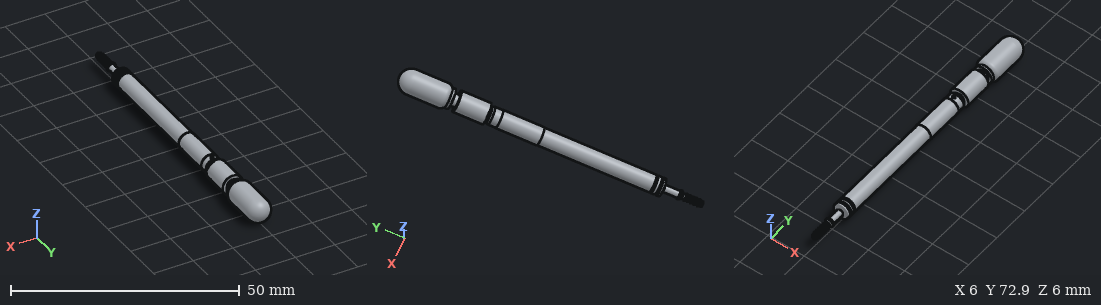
import cadquery as cq

total_length = 72.9

head_radius = 3.0
head_shoulder_at = 10.65
shoulder_inflection_at = 11.5
shoulder_inflection_radius = 2.6
collar_at = 11.8
collar_radius = 2.4
head_end_at = 12.6

front_neck_radius = 1.5
rear_neck_radius = 1.3

sleeve_radius = 2.55
sleeve_at = 13.9
sleeve_end_at = 21.1

nose_at = 21.15
nose_break_radius = 1.9
nose_break_at = 21.6

barrel_radius = 2.1
barrel_at = 22.15
barrel_end_at = 63.35
barrel_rear_round = 0.15
band_radius = 2.2
band_at = 24.05
band_end_at = 34.0

groove_ats = (61.15, 62.5)
groove_radius = 0.2

dimple_at = 23.0
dimple_diameter = 0.7
dimple_depth = 0.3

rear_cone_end_at = 63.65
rod_radius = 0.9

flange_at = 67.2
flange_radius = 1.1
flange_width = 0.4
flange_taper_end_at = 68.1
tail_radius = 0.65
tail_chamfer = 0.1

barb_radius = 0.9
barb_count = 5
barb_pitch = 0.8
barb_length = 0.5
first_barb_at = 68.75


def position(distance):
    """Y coordinate of a distance from the rounded tip."""
    return total_length / 2 - distance


def spin(outline):
    """Close an outline drawn in the XY plane and revolve it about the Y axis."""
    return outline.close().revolve(360, (0, 0), (0, 1))


def cone(start_radius, start_at, end_radius, end_at):
    """Cone frustum on the Y axis, between two distances from the rounded tip."""
    outline = cq.Workplane("XY").moveTo(0, position(start_at)).lineTo(start_radius, position(start_at))
    return spin(outline.lineTo(end_radius, position(end_at)).lineTo(0, position(end_at)))


def cylinder(radius, start_at, end_at):
    """Cylinder on the Y axis, between two distances from the rounded tip."""
    return cone(radius, start_at, radius, end_at)


def make_head():
    """Hemispherical dome, straight side, S-curved shoulder and collar."""
    return spin(
        cq.Workplane("XY")
        .moveTo(0, position(0))
        .radiusArc((head_radius, position(head_radius)), head_radius)
        .lineTo(head_radius, position(head_shoulder_at))
        .tangentArcPoint((shoulder_inflection_radius, position(shoulder_inflection_at)), relative=False)
        .tangentArcPoint((collar_radius, position(collar_at)), relative=False)
        .lineTo(collar_radius, position(head_end_at))
        .lineTo(0, position(head_end_at))
    )


def make_sleeve():
    """Sleeve and the necks on both sides of it."""
    sleeve = cylinder(sleeve_radius, sleeve_at, sleeve_end_at)
    front_neck = cylinder(front_neck_radius, head_end_at, sleeve_at)
    rear_neck = cylinder(rear_neck_radius, sleeve_end_at, nose_at)
    return sleeve.union(front_neck).union(rear_neck)


def make_nose():
    """Steep cone followed by a gentle one, up to the barrel."""
    steep_part = cone(rear_neck_radius, nose_at, nose_break_radius, nose_break_at)
    return steep_part.union(cone(nose_break_radius, nose_break_at, barrel_radius, barrel_at))


def make_barrel():
    """Barrel with the label band, the ring grooves and the dimple."""
    barrel = cylinder(barrel_radius, barrel_at, barrel_end_at)
    barrel = barrel.faces("<Y").edges().fillet(barrel_rear_round)
    barrel = barrel.union(cylinder(band_radius, band_at, band_end_at))
    for groove_at in groove_ats:
        section = cq.Workplane("XY").center(barrel_radius, position(groove_at)).circle(groove_radius)
        barrel = barrel.cut(section.revolve(360, (-barrel_radius, 0), (-barrel_radius, 1)))
    dimple_floor = cq.Workplane("XY", origin=(0, position(dimple_at), barrel_radius - dimple_depth))
    dimple = dimple_floor.circle(dimple_diameter / 2).extrude(2 * dimple_depth)
    return barrel.cut(dimple)


def make_tail():
    """Rear cone, rod, tapered flange and barbed tail."""
    flange_end_at = flange_at + flange_width
    tail = cylinder(tail_radius, flange_at, total_length).faces("<Y").edges().chamfer(tail_chamfer)
    tail = tail.union(cone(barrel_radius - barrel_rear_round, barrel_end_at, rod_radius, rear_cone_end_at))
    tail = tail.union(cylinder(rod_radius, rear_cone_end_at, flange_at))
    tail = tail.union(cylinder(flange_radius, flange_at, flange_end_at))
    tail = tail.union(cone(flange_radius, flange_end_at, tail_radius, flange_taper_end_at))
    for index in range(barb_count):
        barb_at = first_barb_at + index * barb_pitch
        tail = tail.union(cone(barb_radius, barb_at, tail_radius, barb_at + barb_length))
    return tail


result = make_head().union(make_sleeve()).union(make_nose()).union(make_barrel()).union(make_tail())